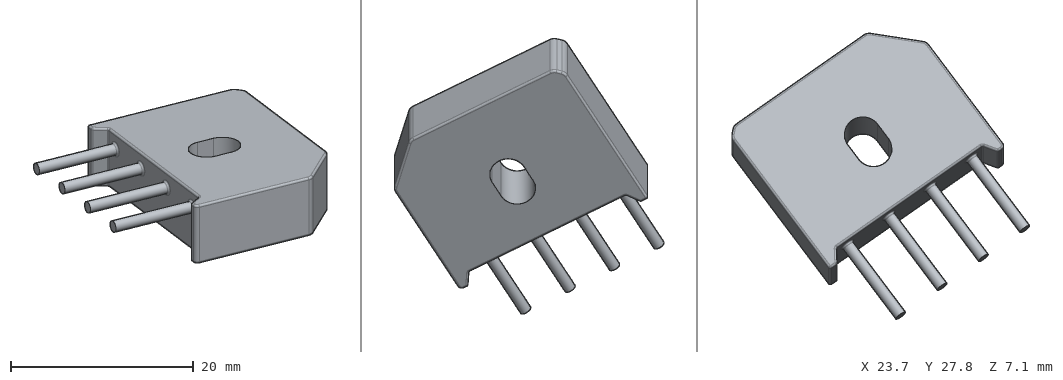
import cadquery as cq

total_length = 27.8
body_width = 23.7
body_length = 19.38
body_height = 7.1

small_corner = 1.0
large_corner = 4.67
corner_radius = 1.0
foot_width = 1.0
foot_flare = 1.0
notch_depth = 1.53
edge_radius = 0.25
polarity_foot_radius = 0.5

slot_width = 4.0
slot_length = 6.0
slot_from_back = 10.15

lead_count = 4
lead_pitch = 5.6
lead_diameter = 1.3
lead_below_top = 1.9
lead_root_radius = 0.22

side_x = body_width / 2
foot_tip_y = -body_length
lead_face_y = foot_tip_y + notch_depth
foot_inner_x = side_x - foot_width
notch_corner_x = foot_inner_x - foot_flare
lead_z = body_height - lead_below_top


def corners_at(body, points):
    """Select the upright edges of the body that stand at the given XY points."""
    tolerance = edge_radius / 2
    edges = body.edges("|Z").vals()
    found = [
        edge
        for edge in edges
        for x, y in points
        if abs(edge.Center().x - x) < tolerance and abs(edge.Center().y - y) < tolerance
    ]
    return body.newObject(found)


def make_body():
    cut_corners = [
        (-side_x, -small_corner),
        (-side_x + small_corner, 0),
        (side_x - large_corner, 0),
        (side_x, -large_corner),
    ]
    polarity_foot_corner = [(side_x, foot_tip_y)]
    foot_corners = [
        (foot_inner_x, foot_tip_y),
        (notch_corner_x, lead_face_y),
        (-notch_corner_x, lead_face_y),
        (-foot_inner_x, foot_tip_y),
        (-side_x, foot_tip_y),
    ]
    outline = cut_corners + polarity_foot_corner + foot_corners
    body = cq.Workplane("XY").polyline(outline).close().extrude(body_height)
    body = corners_at(body, cut_corners).fillet(corner_radius)
    body = corners_at(body, polarity_foot_corner).fillet(polarity_foot_radius)
    body = corners_at(body, foot_corners).fillet(edge_radius)
    return body.faces("<Z or >Z").edges().fillet(edge_radius)


def make_slot():
    return (
        cq.Workplane("XY")
        .center(0, -slot_from_back)
        .slot2D(slot_length, slot_width, 90)
        .extrude(body_height)
    )


def make_lead(x):
    """One round lead along Y with a concave flare at the lead face."""
    radius = lead_diameter / 2
    flare_radius = radius + lead_root_radius
    flare_end_y = lead_face_y - lead_root_radius
    embedded_y = lead_face_y + edge_radius
    profile = (
        cq.Workplane("XY")
        .moveTo(0, -total_length)
        .lineTo(radius, -total_length)
        .lineTo(radius, flare_end_y)
        .radiusArc((flare_radius, lead_face_y), lead_root_radius)
        .lineTo(flare_radius, embedded_y)
        .lineTo(0, embedded_y)
        .close()
    )
    lead = profile.revolve(360, (0, 0, 0), (0, 1, 0))
    return lead.translate((x, 0, lead_z))


result = make_body().cut(make_slot())
for index in range(lead_count):
    result = result.union(make_lead((index - (lead_count - 1) / 2) * lead_pitch))